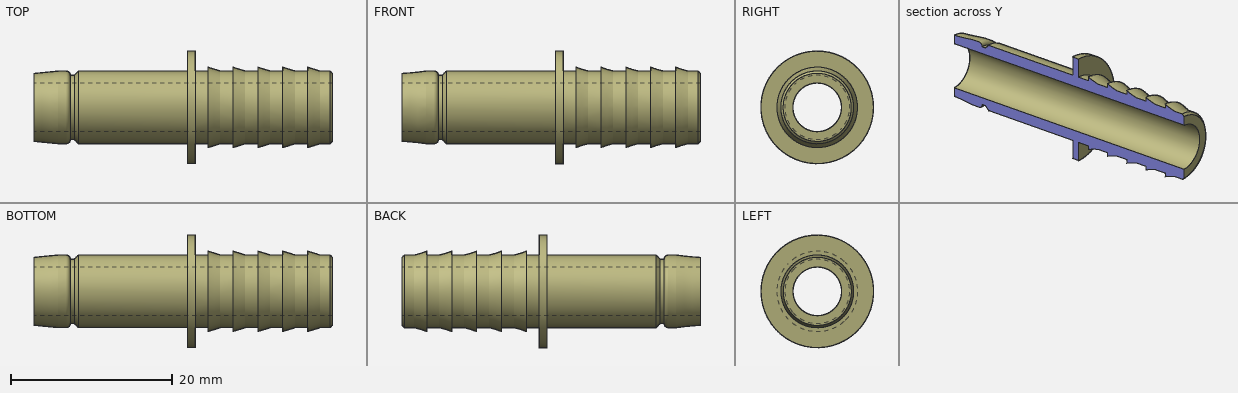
import cadquery as cq

total_length = 37.0
tube_radius = 4.5
bore_radius = 3.0

nose_length = 3.0
nose_tip_radius = 4.2
groove_start = 4.0
groove_depth = 0.5
groove_floor_width = 0.48

flange_start = 19.0
flange_width = 1.0
flange_radius = 7.0

barb_count = 5
barb_radius = 5.0
end_chamfer = 0.3

flange_end = flange_start + flange_width
barb_ramp_length = (total_length - flange_end) / (2 * barb_count + 1)
barb_pitch = 2 * barb_ramp_length


def make_body():
    """Solid tube with a tapered nose and a chamfered hose end."""
    return (
        cq.Workplane("XY")
        .lineTo(0, nose_tip_radius)
        .lineTo(nose_length, tube_radius)
        .lineTo(total_length - end_chamfer, tube_radius)
        .lineTo(total_length, tube_radius - end_chamfer)
        .lineTo(total_length, 0)
        .close()
        .revolve(360, (0, 0, 0), (1, 0, 0))
    )


def make_groove_cutter():
    """Ring with a rounded front shoulder, a flat floor and a 45 degree rear wall."""
    floor_radius = tube_radius - groove_depth
    floor_start = groove_start + groove_depth
    floor_end = floor_start + groove_floor_width
    return (
        cq.Workplane("XY")
        .moveTo(groove_start, tube_radius)
        .radiusArc((floor_start, floor_radius), groove_depth)
        .lineTo(floor_end, floor_radius)
        .lineTo(floor_end + groove_depth, tube_radius)
        .close()
        .revolve(360, (0, 0, 0), (1, 0, 0))
    )


def make_flange():
    return cq.Workplane("YZ").workplane(offset=flange_start).circle(flange_radius).extrude(flange_width)


def make_barb(start):
    """Barb with a square shoulder facing the flange and a ramp down to the tube."""
    return (
        cq.Workplane("XY")
        .moveTo(start, 0)
        .lineTo(start, barb_radius)
        .lineTo(start + barb_ramp_length, tube_radius)
        .lineTo(start + barb_ramp_length, 0)
        .close()
        .revolve(360, (0, 0, 0), (1, 0, 0))
    )


def make_bore_cutter():
    return cq.Workplane("YZ").circle(bore_radius).extrude(total_length)


result = make_body().cut(make_groove_cutter()).union(make_flange())
for index in range(barb_count):
    barb_start = flange_end + barb_ramp_length + index * barb_pitch
    result = result.union(make_barb(barb_start))
result = result.cut(make_bore_cutter())